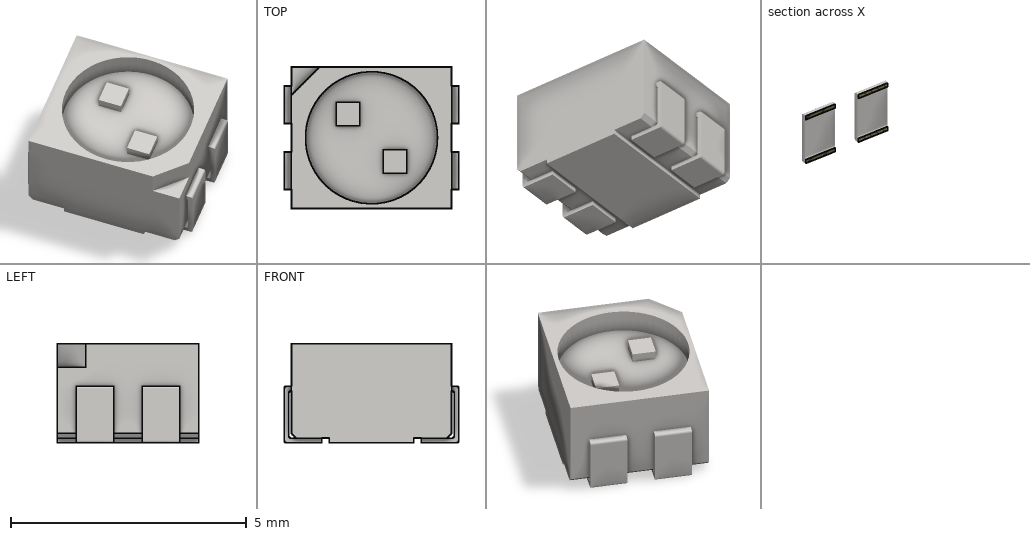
import cadquery as cq

BODY_LENGTH = 3.4
BODY_WIDTH = 3.0
BODY_HEIGHT = 2.1
BOTTOM_CHAMFER = 0.1
PAD_INSET = 0.8

NOTCH_LEG = 0.6
NOTCH_DEPTH = 0.5

CUP_DIAMETER = 2.8
CUP_DEPTH = 0.5

CHIP_SIZE = 0.5
CHIP_HEIGHT = 0.2
CHIP_CENTERS = [(-0.5, 0.5), (0.5, -0.5)]

LEAD_THICKNESS = 0.1
LEAD_WIDTH = 0.8
LEAD_PITCH = 1.4
LEAD_HEIGHT = 1.2
LEAD_STANDOFF = 0.15
LEAD_FOOT_LENGTH = 0.8
BEND_RADIUS = LEAD_STANDOFF - LEAD_THICKNESS

BODY_END = BODY_LENGTH / 2
UNDERSIDE_Z = LEAD_THICKNESS
CUP_FLOOR_Z = BODY_HEIGHT - CUP_DEPTH


def make_housing():
    """Block with chamfered lower ends, a central foot pad, a round cup and a corner notch."""
    pad_end = BODY_END - PAD_INSET
    chamfer_x = BODY_END - BOTTOM_CHAMFER
    chamfer_z = UNDERSIDE_Z + BOTTOM_CHAMFER
    block = (
        cq.Workplane("XZ")
        .moveTo(-pad_end, 0)
        .lineTo(pad_end, 0)
        .lineTo(pad_end, UNDERSIDE_Z)
        .lineTo(chamfer_x, UNDERSIDE_Z)
        .lineTo(BODY_END, chamfer_z)
        .lineTo(BODY_END, BODY_HEIGHT)
        .lineTo(-BODY_END, BODY_HEIGHT)
        .lineTo(-BODY_END, chamfer_z)
        .lineTo(-chamfer_x, UNDERSIDE_Z)
        .lineTo(-pad_end, UNDERSIDE_Z)
        .close()
        .extrude(BODY_WIDTH / 2, both=True)
    )
    cup = cq.Workplane("XY", origin=(0, 0, CUP_FLOOR_Z)).circle(CUP_DIAMETER / 2).extrude(CUP_DEPTH)
    notch = (
        cq.Workplane("XY", origin=(-BODY_END, BODY_WIDTH / 2, BODY_HEIGHT - NOTCH_DEPTH))
        .polyline([(0, 0), (NOTCH_LEG, 0), (0, -NOTCH_LEG)])
        .close()
        .extrude(NOTCH_DEPTH)
    )
    return block.cut(cup).cut(notch)


def make_lead(side, y_center):
    """C-shaped lead: a short top arm touching the housing, a vertical leg and a foot.

    side is +1 for the +X end of the housing and -1 for the -X end.
    """
    wall_x = side * BODY_END
    outer_x = side * (BODY_END + LEAD_STANDOFF)
    inner_x = outer_x - side * LEAD_THICKNESS
    toe_x = outer_x - side * LEAD_FOOT_LENGTH
    outer_bend_x = outer_x - side * BEND_RADIUS
    inner_bend_x = inner_x - side * BEND_RADIUS
    arm_bottom_z = LEAD_HEIGHT - LEAD_THICKNESS
    return (
        cq.Workplane("XZ", origin=(0, y_center, 0))
        .moveTo(wall_x, LEAD_HEIGHT)
        .lineTo(outer_bend_x, LEAD_HEIGHT)
        .tangentArcPoint((outer_x, LEAD_HEIGHT - BEND_RADIUS), relative=False)
        .lineTo(outer_x, BEND_RADIUS)
        .tangentArcPoint((outer_bend_x, 0), relative=False)
        .lineTo(toe_x, 0)
        .lineTo(toe_x, LEAD_THICKNESS)
        .lineTo(inner_bend_x, LEAD_THICKNESS)
        .tangentArcPoint((inner_x, LEAD_THICKNESS + BEND_RADIUS), relative=False)
        .lineTo(inner_x, arm_bottom_z - BEND_RADIUS)
        .tangentArcPoint((wall_x, arm_bottom_z), relative=False)
        .close()
        .extrude(LEAD_WIDTH / 2, both=True)
    )


def make_chip(center):
    """Square LED chip standing on the cup floor."""
    return (
        cq.Workplane("XY", origin=(*center, CUP_FLOOR_Z))
        .rect(CHIP_SIZE, CHIP_SIZE)
        .extrude(CHIP_HEIGHT)
    )


housing = make_housing()
leads = [
    make_lead(side, y_center)
    for side in (-1, 1)
    for y_center in (-LEAD_PITCH / 2, LEAD_PITCH / 2)
]
chips = [make_chip(center) for center in CHIP_CENTERS]

result = cq.Compound.makeCompound([
    housing.solids().val(),
    *[lead.solids().val() for lead in leads],
    *[chip.val() for chip in chips],
])